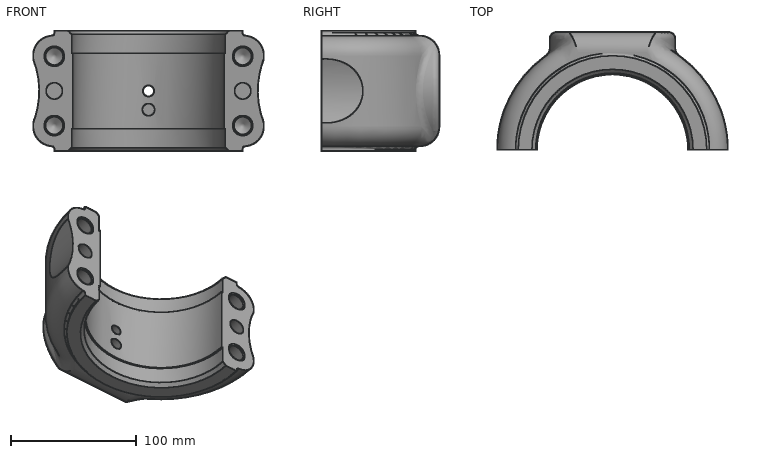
import cadquery as cq
import math

outer_radius = 92.0
half_height = 48.0
body_half_height = 44.2
shoulder_round = 16.0
rim_radius = 75.0
rim_fillet = 2.2

bore_radius = 60.2
seat_radius = 61.3
land_half_height = 30.0
mouth_chamfer = 3.0

boss_radius = 50.0
boss_face_y = 94.0
boss_edge_round = 5.5
boss_root_fillet = 6.6

hollow_depth = 4.8
hollow_half_height = 25.2
hollow_tilt = 2.2

bolt_x = 75.0
bolt_z = 27.6
thread_diameter = 14.0
thread_mouth_diameter = 16.0
thread_depth = 29.5
drill_point_angle = 118.0
dowel_diameter = 13.0
dowel_depth = 18.4

oil_diameter = 8.6
pin_diameter = 9.8
pin_z = -14.9
pin_depth = 9.2


def outer_body():
    """Disc with a round pad on the crown, blended at the pad root, shoulders and pad edge."""
    disc = cq.Workplane("XY").circle(outer_radius).extrude(body_half_height, both=True)
    slab = cq.Workplane("XY").box(4 * outer_radius, 4 * outer_radius, 2 * body_half_height)
    pad = cq.Workplane("XZ").circle(boss_radius).extrude(-boss_face_y).intersect(slab)
    body = disc.union(pad).clean()

    root = [edge for edge in body.edges().vals() if edge.geomType() not in ("LINE", "CIRCLE")]
    body = body.newObject(root).fillet(boss_root_fillet)

    for end in (">Z", "<Z"):
        shoulder = body.faces(end).edges().vals()[0]
        body = body.newObject([shoulder]).fillet(shoulder_round)

    pad_edge = [edge for edge in body.faces(">Y").edges().vals() if edge.geomType() != "LINE"]
    body = body.newObject(pad_edge).fillet(boss_edge_round)
    return body.intersect(crown_envelope())


def crown_envelope():
    """Block that carries the shoulder rounding straight across the top of the pad."""
    depth = outer_radius + boss_face_y
    block = cq.Workplane("XY").box(4 * outer_radius, depth, 2 * body_half_height)
    block = block.translate((0, boss_face_y - depth / 2, 0))
    return block.faces(">Y").edges("|X").fillet(shoulder_round)


def rim():
    """Raised rim at both ends, with a concave fillet where it leaves the body."""
    diagonal = math.sqrt(0.5)
    root_r = rim_radius + rim_fillet
    top_z = body_half_height + rim_fillet
    upper = (
        cq.Workplane("XZ")
        .lineTo(root_r, 0)
        .lineTo(root_r, body_half_height)
        .threePointArc(
            (root_r - rim_fillet * diagonal, top_z - rim_fillet * diagonal),
            (rim_radius, top_z),
        )
        .lineTo(rim_radius, half_height)
        .lineTo(0, half_height)
        .close()
        .revolve(360, (0, 0, 0), (0, 1, 0))
    )
    return upper.union(upper.mirror("XY"))


def bore():
    """Bore with a wider seat and a chamfered mouth at each end."""
    land = cq.Workplane("XY").circle(bore_radius).extrude(half_height, both=True)
    seat_length = half_height - land_half_height
    mouth_radius = seat_radius + mouth_chamfer
    for direction in (1, -1):
        seat = cq.Workplane("XY", origin=(0, 0, direction * land_half_height))
        land = land.union(seat.circle(seat_radius).extrude(direction * seat_length))
        mouth = cq.Solid.makeCone(
            mouth_radius,
            seat_radius,
            mouth_chamfer,
            cq.Vector(0, 0, direction * half_height),
            cq.Vector(0, 0, -direction),
        )
        land = land.union(cq.Workplane(mouth))
    return land


def flank_hollow():
    """Shallow cylindrical scoop on the +X flank, running back from the joint face."""
    radius = (hollow_half_height**2 + hollow_depth**2) / (2 * hollow_depth)
    axis_x = outer_radius - hollow_depth + radius
    return (
        cq.Workplane("XZ", origin=(axis_x, 0, 0))
        .circle(radius)
        .extrude(outer_radius, both=True)
        .rotate((axis_x, 0, 0), (axis_x, 0, 1), hollow_tilt)
    )


def joint_holes():
    """Two chamfered threaded holes with drill points and a dowel hole on the +X joint face."""
    radius = thread_diameter / 2
    mouth_radius = thread_mouth_diameter / 2
    chamfer = mouth_radius - radius
    point_length = radius / math.tan(math.radians(drill_point_angle / 2))
    threaded = (
        cq.Workplane("XY")
        .polyline([
            (0, 0),
            (mouth_radius, 0),
            (radius, chamfer),
            (radius, thread_depth),
            (0, thread_depth + point_length),
        ])
        .close()
        .revolve(360, (0, 0, 0), (0, 1, 0))
    )
    holes = cq.Workplane("XZ").center(bolt_x, 0).circle(dowel_diameter / 2).extrude(-dowel_depth)
    for z in (-bolt_z, bolt_z):
        holes = holes.union(threaded.translate((bolt_x, 0, z)))
    return holes


kept_half = cq.Workplane("XY").box(
    4 * outer_radius, 2 * outer_radius, 4 * half_height, centered=(True, False, True)
)
result = outer_body().union(rim()).intersect(kept_half).cut(bore())

for side_cutter in (flank_hollow(), joint_holes()):
    result = result.cut(side_cutter).cut(side_cutter.mirror("YZ"))

oil_hole = cq.Workplane("XZ").circle(oil_diameter / 2).extrude(-boss_face_y)
pin_hole = cq.Workplane("XZ").center(0, pin_z).circle(pin_diameter / 2).extrude(-(bore_radius + pin_depth))
result = result.cut(oil_hole).cut(pin_hole)